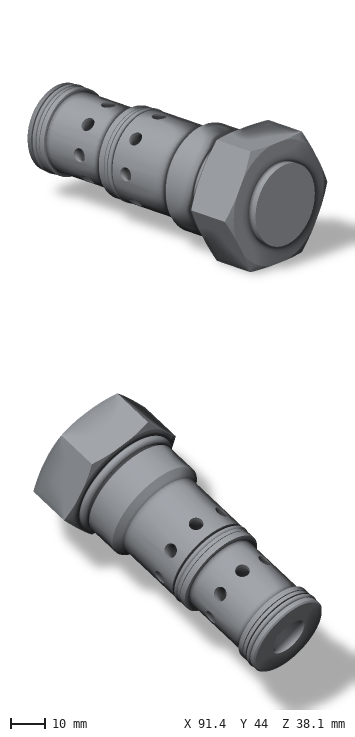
import cadquery as cq
import math


nose_diameter = 27.0
nose_length = 6.95
nose_chamfer = 0.5
waist_diameter = 24.9
shank_diameter = 28.5
shank_start = 29.8
cage_length = 56.6
bore_diameter = 12.4

port_diameter = 4.3
ports_per_ring = 8
port_ring_places = [20.3, 40.7]

groove_width = 3.5
nose_groove_start = 1.8
nose_groove_diameter = 24.3
shank_groove_start = 31.8
shank_groove_diameter = 25.9
seal_section = 1.6
nose_seal_clearance = 0.3
shank_seal_clearance = 0.2
backup_width = 1.1
nose_backup_diameter = 26.9
shank_backup_diameter = 28.5

collar_diameter = 33.3
collar_taper_length = 0.8
face_groove_start = 70.0
face_groove_diameter = 30.45
hex_start = 73.2
hex_end = 88.8
hex_across_flats = 38.1
hex_chamfer_diameter = 38.6
hex_chamfer_length = 1.0
boss_diameter = 25.4
overall_length = 91.4
face_seal_outer_diameter = 35.7

cone_length = (collar_diameter - shank_diameter) / 2
hex_across_corners = hex_across_flats / math.cos(math.pi / 6)
face_seal_section = (face_seal_outer_diameter - face_groove_diameter) / 2


def cylinder(diameter, start, end):
    """Solid cylinder on the X axis between two places along it."""
    return cq.Workplane("YZ", origin=(start, 0, 0)).circle(diameter / 2).extrude(end - start)


def tube(outer_diameter, inner_diameter, start, end):
    """Cylindrical ring on the X axis."""
    return cylinder(outer_diameter, start, end).cut(cylinder(inner_diameter, start, end))


def revolve_profile(points):
    """Revolve a closed outline of (x, radius) points about the X axis."""
    return cq.Workplane("XY").polyline(points).close().revolve(360, (0, 0, 0), (1, 0, 0))


def o_ring(inner_diameter, section, middle):
    """Torus around the X axis, centred at the given place along it."""
    ring_radius = (inner_diameter + section) / 2
    return cq.Workplane("XY").center(middle, ring_radius).circle(section / 2).revolve(
        360, (0, -ring_radius, 0), (1, -ring_radius, 0)
    )


def make_ports(middle):
    """Cross holes evenly spaced around the cage, each drill spanning the full diameter."""
    ports = cq.Workplane("XY")
    for index in range(ports_per_ring // 2):
        drill = (
            cq.Workplane("XY", origin=(middle, 0, 0))
            .circle(port_diameter / 2)
            .extrude(shank_diameter, both=True)
            .rotate((0, 0, 0), (1, 0, 0), index * 360 / ports_per_ring)
        )
        ports = ports.add(drill)
    return ports.combine()


def make_cage():
    """Ported sleeve with two seal grooves and a bore along its whole length."""
    nose = cylinder(nose_diameter, 0, nose_length).faces("<X").chamfer(nose_chamfer)
    waist = cylinder(waist_diameter, nose_length, shank_start)
    shank = cylinder(shank_diameter, shank_start, cage_length)
    cage = nose.union(waist).union(shank)
    cage = cage.cut(cylinder(bore_diameter, 0, cage_length))
    cage = cage.cut(
        tube(shank_diameter, nose_groove_diameter, nose_groove_start, nose_groove_start + groove_width)
    )
    cage = cage.cut(
        tube(collar_diameter, shank_groove_diameter, shank_groove_start, shank_groove_start + groove_width)
    )
    for place in port_ring_places:
        cage = cage.cut(make_ports(place))
    return cage


def make_hexagon():
    """Hexagon with flats facing up and down, its corners turned to a cone at both ends."""
    hexagon = (
        cq.Workplane("YZ", origin=(hex_start, 0, 0))
        .polygon(6, hex_across_corners)
        .extrude(hex_end - hex_start)
    )
    turned_outline = [
        (hex_start, 0),
        (hex_start, hex_chamfer_diameter / 2),
        (hex_start + hex_chamfer_length, hex_across_corners / 2),
        (hex_end - hex_chamfer_length, hex_across_corners / 2),
        (hex_end, hex_chamfer_diameter / 2),
        (hex_end, 0),
    ]
    return hexagon.intersect(revolve_profile(turned_outline))


def make_hex_body():
    """Hex body that closes the bore of the cage with its flat front face."""
    collar_outline = [
        (cage_length, 0),
        (cage_length, shank_diameter / 2),
        (cage_length + cone_length, collar_diameter / 2),
        (face_groove_start - collar_taper_length, collar_diameter / 2),
        (face_groove_start, face_groove_diameter / 2),
        (hex_start, face_groove_diameter / 2),
        (hex_start, 0),
    ]
    boss = cylinder(boss_diameter, hex_end, overall_length)
    return revolve_profile(collar_outline).union(make_hexagon()).union(boss)


cage = make_cage()
hex_body = make_hex_body()

nose_o_ring_middle = nose_groove_start + nose_seal_clearance + seal_section / 2
nose_o_ring = o_ring(nose_groove_diameter, seal_section, nose_o_ring_middle)
nose_backup_end = nose_groove_start + groove_width - nose_seal_clearance
nose_backup_ring = tube(
    nose_backup_diameter, nose_groove_diameter, nose_backup_end - backup_width, nose_backup_end
)

shank_backup_start = shank_groove_start + shank_seal_clearance
shank_backup_end = shank_backup_start + backup_width
shank_backup_ring = tube(
    shank_backup_diameter, shank_groove_diameter, shank_backup_start, shank_backup_end
)
shank_o_ring = o_ring(shank_groove_diameter, seal_section, shank_backup_end + seal_section / 2)

face_o_ring = o_ring(face_groove_diameter, face_seal_section, (face_groove_start + hex_start) / 2)

result = cq.Compound.makeCompound(
    [
        cage.val(),
        hex_body.val(),
        nose_o_ring.val(),
        nose_backup_ring.val(),
        shank_backup_ring.val(),
        shank_o_ring.val(),
        face_o_ring.val(),
    ]
)